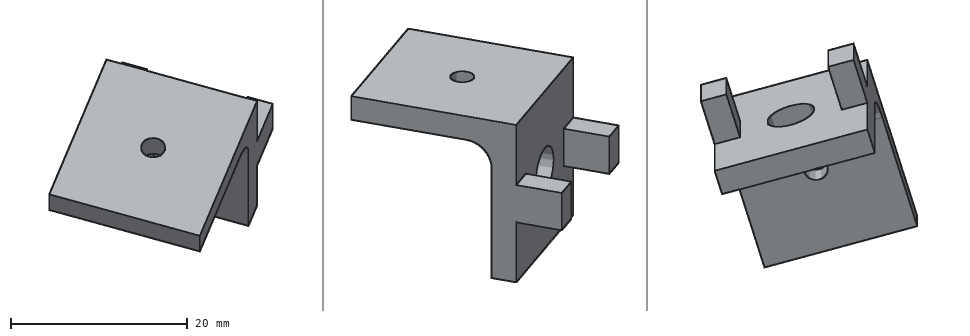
import cadquery as cq

width = 18.0
leg_length = 20.0
total_depth = 25.5
thickness = 3.0
inner_radius = 3.0
tab_width = 3.0
tab_height = 4.75
wall_hole_diameter = 5.5
plate_hole_diameter = 2.7

tab_length = total_depth - leg_length
wall_front = leg_length - thickness
plate_underside = leg_length - thickness
leg_middle = leg_length / 2
tab_offset = (width - tab_width) / 2


def make_angle():
    """L-shaped bracket: horizontal plate on top, vertical wall at the rear."""
    profile = (
        cq.Workplane("YZ")
        .moveTo(0, leg_length)
        .lineTo(leg_length, leg_length)
        .lineTo(leg_length, 0)
        .lineTo(wall_front, 0)
        .lineTo(wall_front, plate_underside - inner_radius)
        .tangentArcPoint((wall_front - inner_radius, plate_underside), relative=False)
        .lineTo(0, plate_underside)
        .close()
    )
    return profile.extrude(width / 2, both=True)


def make_tabs():
    """Two rectangular tabs at the sides of the wall, running back from its inner face."""
    return (
        cq.Workplane("XY", origin=(0, wall_front, leg_middle))
        .pushPoints([(-tab_offset, 0), (tab_offset, 0)])
        .box(tab_width, thickness + tab_length, tab_height, centered=(True, False, True))
    )


def make_plate_hole():
    """Vertical cylinder through the middle of the plate."""
    return (
        cq.Workplane("XY", origin=(0, leg_middle, plate_underside))
        .circle(plate_hole_diameter / 2)
        .extrude(thickness)
    )


def make_wall_hole():
    """Cylinder along Y through the middle of the wall."""
    return (
        cq.Workplane("XZ", origin=(0, leg_length, leg_middle))
        .circle(wall_hole_diameter / 2)
        .extrude(thickness)
    )


result = make_angle().union(make_tabs()).cut(make_plate_hole()).cut(make_wall_hole())